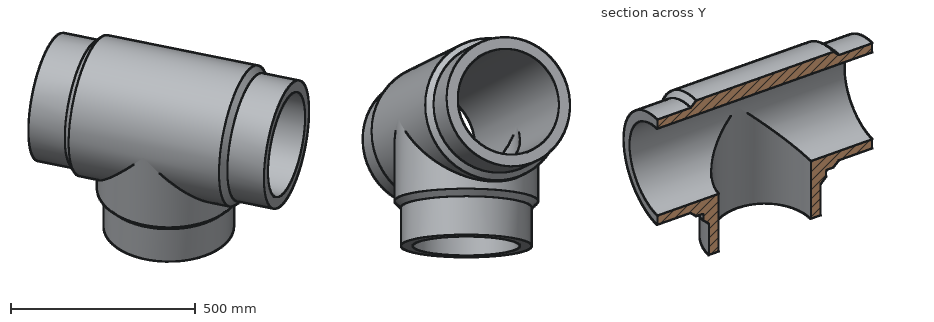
import cadquery as cq

run_length = 680.0
body_diameter = 390.0
spigot_diameter = 355.0
bore_diameter = 290.5
spigot_length = 105.5

arm_length = run_length / 2
body_reach = arm_length - spigot_length
shoulder_chamfer = (body_diameter - spigot_diameter) / 2

left = (-1, 0, 0)
right = (1, 0, 0)
down = (0, 0, -1)
arm_directions = (left, right, down)


def cylinder(direction, diameter, length):
    """Cylinder starting at the tee centre and running along direction."""
    plane = cq.Plane(origin=(0, 0, 0), xDir=(0, 1, 0), normal=direction)
    return cq.Workplane(plane).circle(diameter / 2).extrude(length)


def outer_arm(direction):
    """Thick body with a 45 degree shoulder down to the thinner spigot."""
    outer_end = cq.selectors.DirectionMinMaxSelector(cq.Vector(*direction))
    body = cylinder(direction, body_diameter, body_reach)
    body = body.faces(outer_end).edges().chamfer(shoulder_chamfer)
    return body.union(cylinder(direction, spigot_diameter, arm_length))


tee = cq.Workplane()
for direction in arm_directions:
    tee = tee.add(outer_arm(direction))
tee = tee.combine()

for direction in arm_directions:
    tee = tee.cut(cylinder(direction, bore_diameter, arm_length))

result = tee.clean()